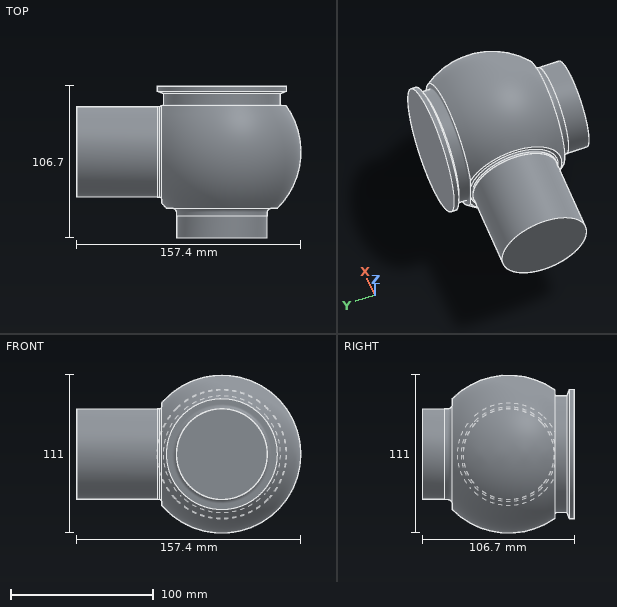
import cadquery as cq
import math

ball_radius = 55.5
back_face = 32.5
front_face = 39.7
side_face = 42.3

pipe_radius = 31.8
collar_radius = 32.0
side_end = 157.4 - ball_radius
side_collar_end = 45.0
side_root_fillet = 1.3
front_end = 60.6
front_collar_end = 45.2
front_root_fillet = 3.0

flange_end = 46.1
flange_radius = 45.5
flange_rim = 3.6
flange_cone = 1.7
neck_radius = 41.0
neck_root_fillet = 0.8


def ball_body():
    """Ball revolved about the Y axis between its two flats, then cut flat at -X."""
    back_edge = math.sqrt(ball_radius**2 - back_face**2)
    front_edge = math.sqrt(ball_radius**2 - front_face**2)
    profile = (
        cq.Workplane("XY")
        .moveTo(0, -front_face)
        .lineTo(front_edge, -front_face)
        .threePointArc((ball_radius, 0), (back_edge, back_face))
        .lineTo(0, back_face)
        .close()
    )
    ball = profile.revolve(360, (0, 0, 0), (0, 1, 0))
    side_cut = (
        cq.Workplane("YZ", origin=(-side_face, 0, 0))
        .rect(2 * ball_radius, 2 * ball_radius)
        .extrude(-ball_radius)
    )
    return ball.cut(side_cut)


def pipe_stub(face, collar_end, end, root_fillet):
    """Stub along +Y, revolved from the ball centre out to its end."""
    fillet_edge = collar_radius + root_fillet
    profile = (
        cq.Workplane("XY")
        .lineTo(collar_radius, 0)
        .lineTo(fillet_edge, face)
        .radiusArc((collar_radius, face + root_fillet), root_fillet)
        .lineTo(collar_radius, collar_end)
        .lineTo(pipe_radius, collar_end)
        .lineTo(pipe_radius, end)
        .lineTo(0, end)
        .close()
    )
    return profile.revolve(360, (0, 0, 0), (0, 1, 0))


def back_flange():
    """Filleted neck, cone and rim revolved about the Y axis."""
    rim_start = flange_end - flange_rim
    profile = (
        cq.Workplane("XY")
        .moveTo(0, back_face)
        .lineTo(neck_radius + neck_root_fillet, back_face)
        .radiusArc((neck_radius, back_face + neck_root_fillet), neck_root_fillet)
        .lineTo(neck_radius, rim_start - flange_cone)
        .lineTo(flange_radius, rim_start)
        .lineTo(flange_radius, flange_end)
        .lineTo(0, flange_end)
        .close()
    )
    return profile.revolve(360, (0, 0, 0), (0, 1, 0))


def side_stub():
    """Stub along -X, its root trimmed level with the back face of the ball."""
    stub = pipe_stub(side_face, side_collar_end, side_end, side_root_fillet)
    stub = stub.rotate((0, 0, 0), (0, 0, 1), 90)
    trim = cq.Workplane("XZ", origin=(0, back_face, 0)).rect(2 * side_end, 2 * ball_radius)
    return stub.intersect(trim.extrude(back_face + ball_radius))


front_stub = pipe_stub(front_face, front_collar_end, front_end, front_root_fillet)
front_stub = front_stub.rotate((0, 0, 0), (0, 0, 1), 180)

result = ball_body().union(side_stub()).union(front_stub).union(back_flange())